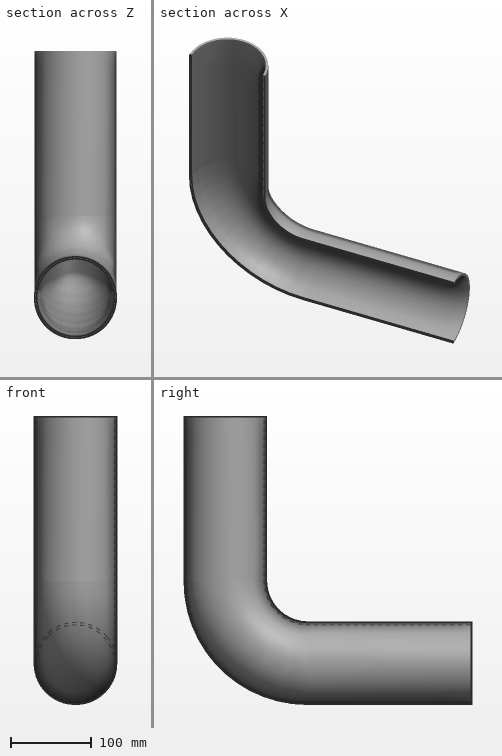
import cadquery as cq
import math

OUTER_DIAMETER = 101.6
INNER_DIAMETER = 95.5
BEND_RADIUS = OUTER_DIAMETER
LEG_LENGTH = 2 * OUTER_DIAMETER


def pipe_centreline():
    """Path from the top end down the vertical leg, round the bend and out along +Y.

    The two leg axes would cross at the origin.
    """
    end_distance = BEND_RADIUS + LEG_LENGTH
    bend_middle = BEND_RADIUS * (1 - math.sqrt(0.5))
    return (
        cq.Workplane("YZ")
        .moveTo(0, end_distance)
        .lineTo(0, BEND_RADIUS)
        .threePointArc((bend_middle, bend_middle), (BEND_RADIUS, 0))
        .lineTo(end_distance, 0)
    )


def pipe():
    """Ring section swept along the centreline, starting at the top end."""
    top_end = cq.Workplane("XY").workplane(offset=BEND_RADIUS + LEG_LENGTH)
    ring = top_end.circle(OUTER_DIAMETER / 2).circle(INNER_DIAMETER / 2)
    return ring.sweep(pipe_centreline())


result = pipe()